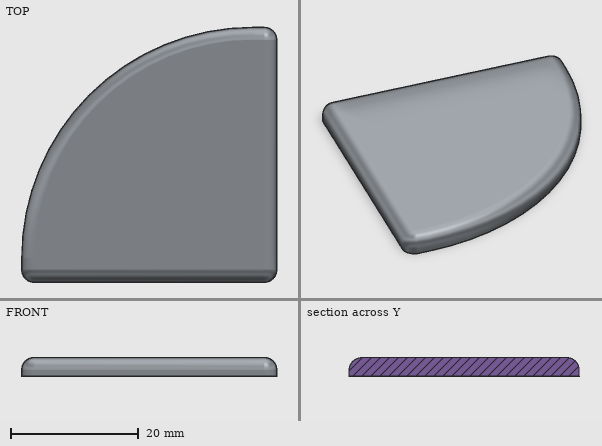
import cadquery as cq
import math

side = 40.0
height = 3.0
round_radius = 2.0
arc_radius = 36.2

half = side / 2
arc_center_x = -half + arc_radius
arc_center_y = half - arc_radius
arc_mid_offset = arc_radius * math.sqrt(0.5)


def sharp_plate():
    """Plate with sharp plan corners, standing on Z = 0."""
    return (
        cq.Workplane("XY")
        .moveTo(-half, -half)
        .lineTo(half, -half)
        .lineTo(half, half)
        .lineTo(arc_center_x, half)
        .threePointArc(
            (arc_center_x - arc_mid_offset, arc_center_y + arc_mid_offset),
            (-half, arc_center_y),
        )
        .close()
        .extrude(height)
    )


def round_edges(plate):
    """Round the three plan corners and the top rim in one step, giving spherical corners."""
    corners = [(-half, -half), (half, -half), (half, half)]
    edges = plate.edges(">Z").vals()
    for x, y in corners:
        corner_point = (x, y, height / 2)
        edges += plate.edges("|Z").edges(cq.NearestToPointSelector(corner_point)).vals()
    return plate.newObject(edges).fillet(round_radius)


result = round_edges(sharp_plate())